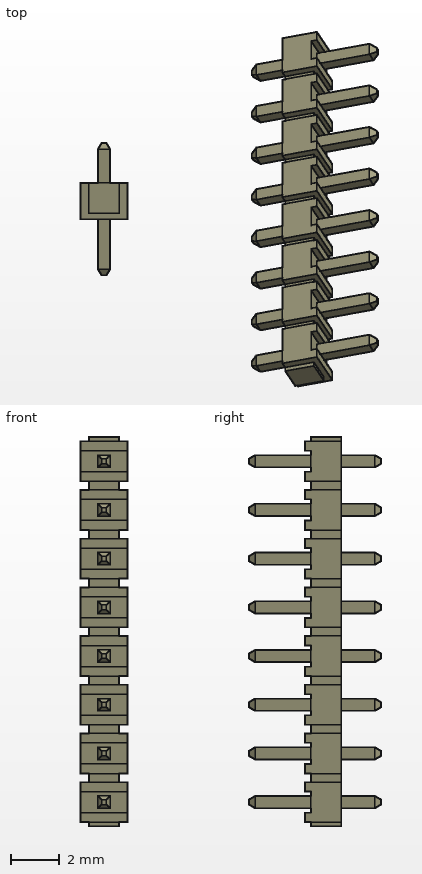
import cadquery as cq

pin_count = 8
pitch = 2.0

block_width = 1.94
block_depth = 1.5
block_height = 1.65

channel_height = 0.86
channel_depth = 0.25

neck_width = 1.25
neck_depth = block_depth - channel_depth

pin_size = 0.51
pin_length = 5.44
back_pin_length = 1.64
taper_length = 0.26
tip_size = 0.2

row_length = pin_count * pitch
front_face = -block_depth / 2
back_face = block_depth / 2
pin_back_end = back_face + back_pin_length
pin_front_end = pin_back_end - pin_length
pin_heights = [(i - (pin_count - 1) / 2) * pitch for i in range(pin_count)]


def box_between(width, front, back, height, z_center):
    """Box centred on X = 0, running from front to back along Y."""
    return cq.Workplane("XY").box(width, back - front, height).translate((0, (front + back) / 2, z_center))


def make_neck():
    return box_between(neck_width, back_face - neck_depth, back_face, row_length, 0)


def make_block(z_center):
    block = box_between(block_width, front_face, back_face, block_height, z_center)
    channel = box_between(block_width, front_face, front_face + channel_depth, channel_height, z_center)
    return block.cut(channel)


def make_taper(base, tip, z_center):
    """Square frustum narrowing from the pin section at base to the tip."""
    section = cq.Plane(origin=(0, base, z_center), xDir=(1, 0, 0), normal=(0, tip - base, 0))
    return (
        cq.Workplane(section)
        .rect(pin_size, pin_size)
        .workplane(offset=abs(tip - base))
        .rect(tip_size, tip_size)
        .loft(ruled=True)
    )


def make_pin(z_center):
    front_base = pin_front_end + taper_length
    back_base = pin_back_end - taper_length
    shank = box_between(pin_size, front_base, back_base, pin_size, z_center)
    front_taper = make_taper(front_base, pin_front_end, z_center)
    back_taper = make_taper(back_base, pin_back_end, z_center)
    return shank.union(front_taper).union(back_taper)


result = make_neck()
for pin_height in pin_heights:
    result = result.union(make_block(pin_height))
    result = result.union(make_pin(pin_height))